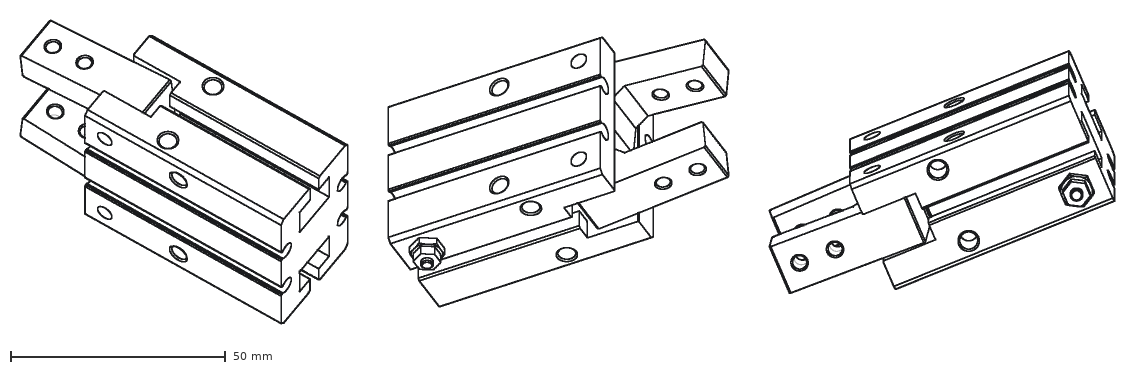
import cadquery as cq
import math


overall_length = 78.9

body_width = 27.6
body_height = 42.05
body_chamfer = 1.1
half_width = body_width / 2
half_height = body_height / 2

pocket_depth = 13.3
pocket_width = 12.15
pocket_mouth_chamfer = 0.2

slot_width = 3.55
slot_chamfer = 0.5
slot_lip = 5.0
slot_cavity_height = 8.05

groove_radius = 2.05
groove_inset = 2.2
groove_z = 7.0
groove_neck = 2.9
groove_mouth = 3.55
groove_mouth_depth = 0.3

mount_diameter = 4.2
mount_countersink = 5.0
side_mount_x = 26.35
face_mount_x = 20.35
face_mount_y = 9.3
face_mount_depth = 7.9

fitting_x = 48.35
fitting_y = 7.5
nut_flats = 7.2
nut_height = 1.9
nut_chamfer_height = 0.3
nut_chamfer_width = 0.5
collar_flats = 5.6
collar_height = 2.4
nipple_diameter = 2.9
nipple_height = 1.1
nipple_chamfer = 0.3

pivot_x = 5.6
pivot_z = 15.0
pivot_diameter = 4.0
swing_angle = 5.0

finger_width = pocket_width
finger_tip = 28.95
finger_half_thickness = 4.0
finger_edge_chamfer = 0.4
heel_front = 5.5
heel_chamfer = 2.9
heel_rear = 5.5
heel_length = 20.5
finger_hole_diameter = 3.3
finger_hole_countersink = 4.0
finger_hole_inset = 5.1
finger_hole_pitch = 9.0
finger_hole_count = 2

swing = math.radians(swing_angle)
tip_corner_z = finger_half_thickness - finger_edge_chamfer
finger_reach = finger_tip * math.cos(swing) + tip_corner_z * math.sin(swing) - pivot_x
body_length = overall_length - finger_reach


def box_between(x_range, y_range, z_range):
    """Axis-aligned box given its lower and upper limit along each axis."""
    sizes = [high - low for low, high in (x_range, y_range, z_range)]
    corner = (x_range[0], y_range[0], z_range[0])
    return cq.Workplane("XY").box(*sizes, centered=False).translate(corner)


def drill(start, direction, depth, diameter, countersink):
    """Hole cutter with a 45 degree countersink at its start."""
    axis = cq.Vector(*direction)
    sink_depth = (countersink - diameter) / 2
    shaft = cq.Solid.makeCylinder(diameter / 2, depth, cq.Vector(*start), axis)
    sink = cq.Solid.makeCone(countersink / 2, diameter / 2, sink_depth, cq.Vector(*start), axis)
    return cq.Workplane(shaft).union(cq.Workplane(sink))


def make_pocket():
    """Finger pocket cutter, flared at the housing's front face."""
    half_pocket = pocket_width / 2
    half_mouth = half_pocket + pocket_mouth_chamfer
    half_outline = [
        (0, half_mouth),
        (pocket_mouth_chamfer, half_pocket),
        (pocket_depth, half_pocket),
    ]
    outline = half_outline + [(x, -y) for x, y in reversed(half_outline)]
    return cq.Workplane("XY").polyline(outline).close().extrude(half_height, both=True)


def make_t_slot(side):
    """T-slot cutter for the top (side = 1) or the bottom (side = -1)."""
    half_slot = slot_width / 2
    half_cavity = pocket_width / 2
    lip_z = half_height - slot_lip
    floor_z = lip_z - slot_cavity_height
    half_outline = [
        (half_slot + slot_chamfer, half_height),
        (half_slot, half_height - slot_chamfer),
        (half_slot, lip_z),
        (half_cavity, lip_z),
        (half_cavity, floor_z),
    ]
    mirrored_half = [(-y, z) for y, z in reversed(half_outline)]
    outline = [(y, side * z) for y, z in half_outline + mirrored_half]
    slot = cq.Workplane("YZ").polyline(outline).close().extrude(body_length - pocket_depth)
    return slot.translate((pocket_depth, 0, 0))


def make_groove(side, z):
    """Round sensor groove with a narrower, flared mouth on one side face."""
    face_y = side * half_width
    centre_y = side * (half_width - groove_inset)
    neck_y = side * (half_width - groove_mouth_depth)
    mouth = [
        (face_y, z + groove_mouth / 2),
        (neck_y, z + groove_neck / 2),
        (centre_y, z + groove_neck / 2),
        (centre_y, z - groove_neck / 2),
        (neck_y, z - groove_neck / 2),
        (face_y, z - groove_mouth / 2),
    ]
    bore = cq.Workplane("YZ").center(centre_y, z).circle(groove_radius).extrude(body_length)
    return bore.union(cq.Workplane("YZ").polyline(mouth).close().extrude(body_length))


def corner_diameter(flats):
    """Diameter of the circle through the corners of a hexagon, from its width across flats."""
    return flats / math.cos(math.pi / 6)


def hexagon(flats, height):
    """Hexagonal prism below Z = 0, with flats that face -X and +X."""
    prism = cq.Workplane("XY").polygon(6, corner_diameter(flats)).extrude(-height)
    return prism.rotate((0, 0, 0), (0, 0, 1), 30)


def make_fitting():
    """Stacked hexagons and a nipple that hang from the underside."""
    nut_blank = cq.Workplane("XY").circle(corner_diameter(nut_flats) / 2).extrude(-nut_height)
    nut_blank = nut_blank.faces("<Z").chamfer(nut_chamfer_height, nut_chamfer_width)
    nut = hexagon(nut_flats, nut_height).intersect(nut_blank)
    collar = hexagon(collar_flats, collar_height).translate((0, 0, -nut_height))
    nipple = cq.Workplane("XY").circle(nipple_diameter / 2).extrude(-nipple_height)
    nipple = nipple.faces("<Z").chamfer(nipple_chamfer).translate((0, 0, -nut_height - collar_height))
    return nut.union(collar).union(nipple).translate((fitting_x, fitting_y, -half_height))


def make_housing():
    half_pocket = pocket_width / 2
    housing = box_between((0, body_length), (-half_width, half_width), (-half_height, half_height))
    housing = housing.edges("|X").chamfer(body_chamfer).cut(make_pocket())
    pivot_bore = cq.Workplane("XZ").circle(pivot_diameter / 2).extrude(half_width, both=True)

    for z_side in (1, -1):
        housing = housing.cut(make_t_slot(z_side))
        housing = housing.cut(pivot_bore.translate((pivot_x, 0, z_side * pivot_z)))
        for y_side in (1, -1):
            housing = housing.cut(make_groove(y_side, z_side * groove_z))
            side_hole = drill(
                (side_mount_x, y_side * half_width, z_side * pivot_z),
                (0, -y_side, 0),
                half_width - half_pocket,
                mount_diameter,
                mount_countersink,
            )
            face_hole = drill(
                (face_mount_x, y_side * face_mount_y, z_side * half_height),
                (0, 0, -z_side),
                face_mount_depth,
                mount_diameter,
                mount_countersink,
            )
            housing = housing.cut(side_hole).cut(face_hole)
    return housing.union(make_fitting())


def make_full_finger():
    """Upper finger with its pivot pin, swung about the pivot; its heel runs on past Z = 0."""
    thick = finger_half_thickness
    edge = finger_edge_chamfer
    outline = [
        (-finger_tip, edge - thick),
        (-finger_tip, thick - edge),
        (edge - finger_tip, thick),
        (heel_rear - edge, thick),
        (heel_rear, thick - edge),
        (heel_rear, edge - heel_length),
        (heel_rear - edge, -heel_length),
        (-heel_front, -heel_length),
        (-heel_front, -thick - heel_chamfer),
        (-heel_front - heel_chamfer, -thick),
        (edge - finger_tip, -thick),
    ]
    finger = cq.Workplane("XZ").polyline(outline).close().extrude(finger_width / 2, both=True)
    for index in range(finger_hole_count):
        hole_x = finger_hole_inset + index * finger_hole_pitch - finger_tip
        for side in (1, -1):
            hole = drill(
                (hole_x, 0, side * thick),
                (0, 0, -side),
                thick,
                finger_hole_diameter,
                finger_hole_countersink,
            )
            finger = finger.cut(hole)
    pin = cq.Workplane("XZ").circle(pivot_diameter / 2).extrude(half_width, both=True)
    finger = finger.union(pin).rotate((0, 0, 0), (0, 1, 0), -swing_angle)
    return finger.translate((pivot_x, 0, pivot_z))


def make_finger(side):
    """Upper (side = 1) or lower (side = -1) finger, split from its twin at Z = 0 where the heels meet."""
    full_finger = make_full_finger()
    finger_pair = full_finger.union(full_finger.mirror("XY"))
    z_range = sorted((0, side * half_height))
    own_half = box_between((-finger_reach, pocket_depth), (-half_width, half_width), z_range)
    return finger_pair.intersect(own_half)


housing = make_housing()
upper_finger = make_finger(1)
lower_finger = make_finger(-1)

bodies = [body.solids().val() for body in (housing, upper_finger, lower_finger)]
result = cq.Compound.makeCompound(bodies)